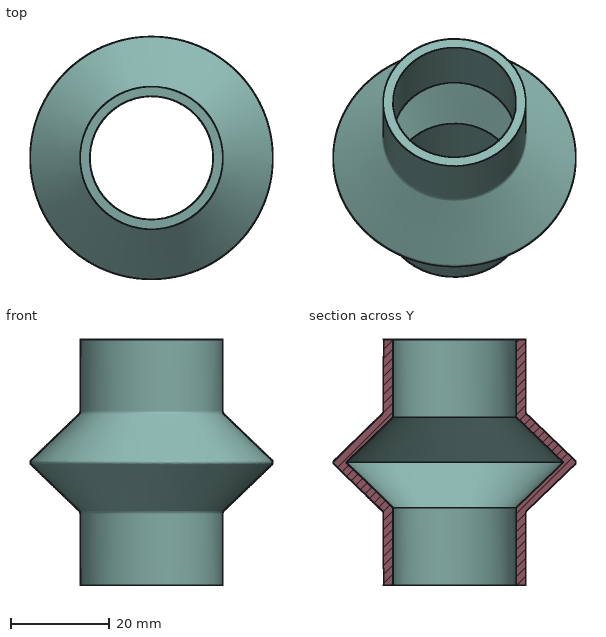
import cadquery as cq
import math

height = 50.0
tube_radius = 14.5
wall = 2.0
bulge_half_height = 10.05
apex_radius = 24.95
neck_fillet = 0.75
rim_fillet = 0.6

cone_width = apex_radius - tube_radius
cone_length = math.hypot(cone_width, bulge_half_height)
cavity_apex_radius = apex_radius - wall * cone_length / bulge_half_height
bore_radius = tube_radius - wall
cavity_half_height = (cavity_apex_radius - bore_radius) * bulge_half_height / cone_width


def double_cone_tube(radius, middle_radius, cone_half_height):
    """Solid cylinder of full height that swells to middle_radius at Z = 0."""
    end = height / 2
    profile = [
        (0, -end),
        (radius, -end),
        (radius, -cone_half_height),
        (middle_radius, 0),
        (radius, cone_half_height),
        (radius, end),
        (0, end),
    ]
    return cq.Workplane("XZ").polyline(profile).close().revolve(360, (0, 0, 0), (0, 1, 0))


def circle_at(z, radius):
    """Select the circular edge of the given radius at height z."""
    margin = 0.05
    reach = radius + margin
    return cq.selectors.BoxSelector((-reach, -reach, z - margin), (reach, reach, z + margin), True)


body = double_cone_tube(tube_radius, apex_radius, bulge_half_height)
body = body.edges(circle_at(0, apex_radius)).edges("%CIRCLE").fillet(rim_fillet)
for neck_z in (-bulge_half_height, bulge_half_height):
    body = body.edges(circle_at(neck_z, tube_radius)).edges("%CIRCLE").fillet(neck_fillet)

result = body.cut(double_cone_tube(bore_radius, cavity_apex_radius, cavity_half_height))